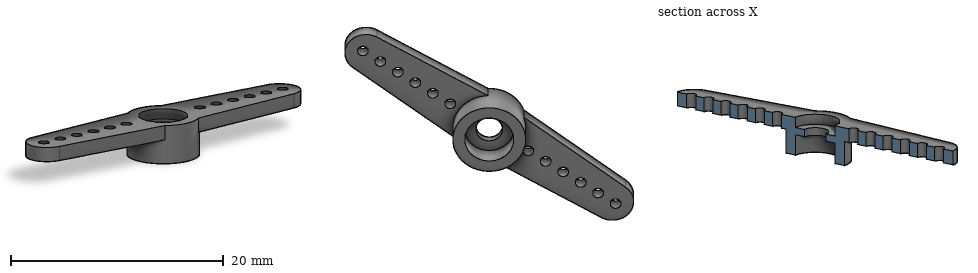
import cadquery as cq
import math


hub_diameter = 6.85
hub_height = 3.75
screw_hole_diameter = 2.5
screw_head_diameter = 4.6
screw_head_depth = 1.0
web_thickness = 0.75
shaft_socket_diameter = screw_head_diameter

horn_length = 32.15
arm_thickness = 1.4
tip_radius = 2.0
arm_root_half_width = 2.75

link_hole_diameter = 1.0
link_hole_pitch = 2.0
link_holes_per_arm = 6
outer_link_hole_y = 14.45

hub_radius = hub_diameter / 2
tip_center_y = horn_length / 2 - tip_radius
arm_root_y = math.sqrt(hub_radius**2 - arm_root_half_width**2)
root_to_tip_y = tip_center_y - arm_root_y
root_to_tip_center = math.hypot(arm_root_half_width, root_to_tip_y)
taper_angle = math.atan2(arm_root_half_width, root_to_tip_y) - math.asin(tip_radius / root_to_tip_center)
tangent_x = tip_radius * math.cos(taper_angle)
tangent_y = tip_center_y + tip_radius * math.sin(taper_angle)


def make_arms():
    """Flat plate of both arms, with rounded tips and straight tapered sides."""
    outline = (
        cq.Workplane("XY")
        .moveTo(arm_root_half_width, arm_root_y)
        .lineTo(tangent_x, tangent_y)
        .threePointArc((0, horn_length / 2), (-tangent_x, tangent_y))
        .lineTo(-arm_root_half_width, arm_root_y)
        .lineTo(-arm_root_half_width, -arm_root_y)
        .lineTo(-tangent_x, -tangent_y)
        .threePointArc((0, -horn_length / 2), (tangent_x, -tangent_y))
        .lineTo(arm_root_half_width, -arm_root_y)
        .close()
    )
    return outline.extrude(-arm_thickness)


def cylinder_down(diameter, top_z, depth):
    """Cylinder on the Z axis, reaching down from top_z."""
    return cq.Workplane("XY").workplane(offset=top_z).circle(diameter / 2).extrude(-depth)


def make_link_holes():
    """Cutters for the row of through holes in each arm."""
    hole_ys = [outer_link_hole_y - i * link_hole_pitch for i in range(link_holes_per_arm)]
    centers = [(0, side * y) for side in (1, -1) for y in hole_ys]
    return cq.Workplane("XY").pushPoints(centers).circle(link_hole_diameter / 2).extrude(-arm_thickness)


body = make_arms().union(cylinder_down(hub_diameter, 0, hub_height))

socket_top = -(screw_head_depth + web_thickness)
body = body.cut(cylinder_down(screw_head_diameter, 0, screw_head_depth))
body = body.cut(cylinder_down(screw_hole_diameter, 0, hub_height))
body = body.cut(cylinder_down(shaft_socket_diameter, socket_top, hub_height + socket_top))

result = body.cut(make_link_holes())